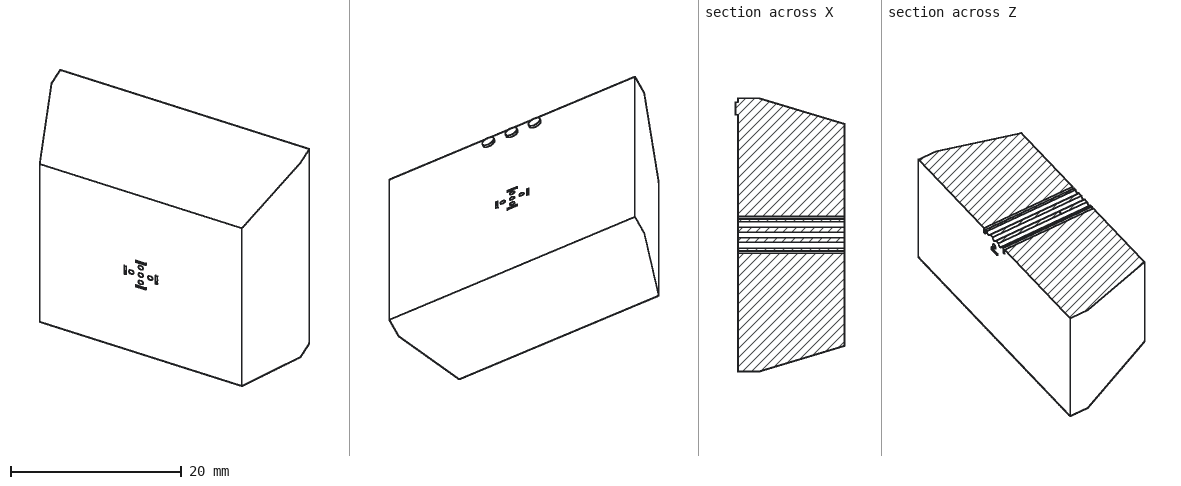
import cadquery as cq

side = 32.0
total_depth = 12.8
pin_height = 0.3
rim_depth = 2.5
face_inset = 3.0

pin_diameter = 1.5
pin_spacing = 3.0
pin_edge_distance = 1.2

hole_diameter = 0.6
hole_offset = 1.2
slot_offset = 2.0
slot_length = 1.3
slot_width = 0.25

front_y = -total_depth / 2
back_y = total_depth / 2 - pin_height
rim_y = back_y - rim_depth
body_depth = back_y - front_y
face_side = side - 2 * face_inset


def plane_at(y):
    """Sketch plane at depth y: local x is +X, local y is +Z, normal is -Y."""
    return cq.Workplane("XZ", origin=(0, y, 0))


def make_body():
    rim = plane_at(back_y).rect(side, side).extrude(rim_depth)
    taper = (
        plane_at(rim_y)
        .rect(side, side)
        .workplane(offset=rim_y - front_y)
        .rect(face_side, face_side)
        .loft(ruled=True)
    )
    return rim.union(taper)


def make_pins():
    z = side / 2 - pin_edge_distance
    centers = [(x, z) for x in (-pin_spacing, 0, pin_spacing)]
    return plane_at(back_y).pushPoints(centers).circle(pin_diameter / 2).extrude(-pin_height)


def make_openings():
    hole_centers = [(0, 0)]
    for sign in (-1, 1):
        hole_centers += [(sign * hole_offset, 0), (0, sign * hole_offset)]
    holes = plane_at(back_y).pushPoints(hole_centers).circle(hole_diameter / 2).extrude(body_depth)
    upright_slots = (
        plane_at(back_y)
        .pushPoints([(-slot_offset, 0), (slot_offset, 0)])
        .rect(slot_width, slot_length)
        .extrude(body_depth)
    )
    level_slots = upright_slots.rotate((0, 0, 0), (0, 1, 0), 90)
    return holes.add(upright_slots).add(level_slots)


result = make_body().union(make_pins())
for opening in make_openings().vals():
    result = result.cut(cq.Workplane(opening))